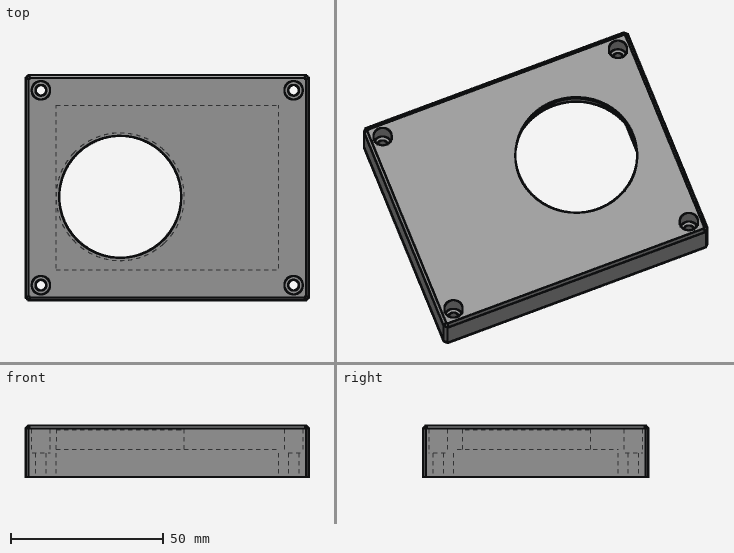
import cadquery as cq

length = 93.0
width = 74.0
height = 17.0
edge_chamfer = 1.0

screw_inset = 5.0
screw_diameter = 3.4
screw_head_diameter = 6.0
screw_head_depth = 9.0

window_x = -15.4
window_y = -3.0
window_diameter = 40.0
window_bore_diameter = 42.0
window_lip = 1.5

frame_width = 2 * screw_inset
roof_thickness = 8.0
cavity_depth = height - roof_thickness


def make_block():
    block = cq.Workplane("XY").box(length, width, height, centered=(True, True, False))
    return block.edges("|Z").chamfer(edge_chamfer).faces(">Z").edges().chamfer(edge_chamfer)


def cut_cavity(body):
    cavity = cq.Workplane("XY").rect(length - 2 * frame_width, width - 2 * frame_width)
    return body.cut(cavity.extrude(cavity_depth))


def cut_window(body):
    center = cq.Workplane("XY").center(window_x, window_y)
    opening = center.circle(window_diameter / 2).extrude(height)
    bore = center.circle(window_bore_diameter / 2).extrude(height - window_lip)
    return body.cut(opening).cut(bore)


def cut_screw_holes(body):
    pitch_x = length - 2 * screw_inset
    pitch_y = width - 2 * screw_inset
    return (
        body.faces(">Z")
        .workplane(origin=(0, 0, height))
        .rect(pitch_x, pitch_y, forConstruction=True)
        .vertices()
        .cboreHole(screw_diameter, screw_head_diameter, screw_head_depth)
    )


result = cut_screw_holes(cut_window(cut_cavity(make_block())))